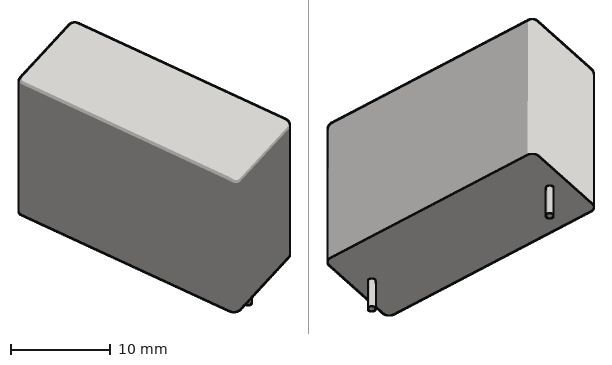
import cadquery as cq


case_length = 26.5
case_width = 10.5
case_height = 19.0
edge_radius = 0.8

lead_diameter = 0.8
lead_length = 3.8
lead_pitch = 22.5


def make_case():
    """Solid block, rounded on its upright and top edges, with a sharp bottom rim."""
    block = cq.Workplane("XY").box(case_length, case_width, case_height, centered=(True, True, False))
    return block.edges("|Z or >Z").fillet(edge_radius)


def make_lead(x):
    """Round wire hanging from the flat underside of the case."""
    return cq.Workplane("XY").center(x, 0).circle(lead_diameter / 2).extrude(-lead_length)


case = make_case()
leads = [make_lead(side * lead_pitch / 2) for side in (-1, 1)]

result = cq.Compound.makeCompound([case.val(), *[lead.val() for lead in leads]])